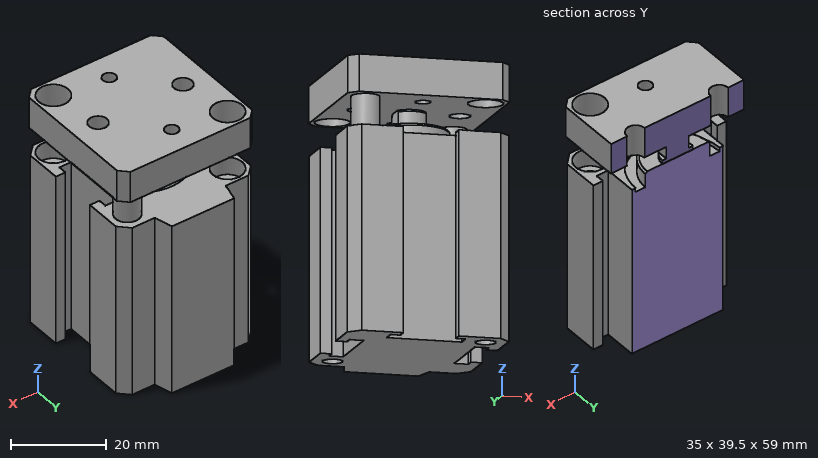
import cadquery as cq

total_height = 59.0
side = 35.0
half_side = side / 2

housing_height = 44.0
housing_corner_chamfer = 2.5
slot_opening = 12.0
slot_inner_width = 16.15
slot_lip = 2.5
slot_depth = 5.5
rail_height = 4.5
rail_base_width = 18.4
rail_top_width = 16.1
recess_diameter = 22.0
recess_depth = 1.0
boss_diameter = 17.0
boss_height = 3.0
edge_chamfer = 0.5
mounting_hole_diameter = 4.3
counterbore_diameter = 7.5
counterbore_depth = 4.5

plate_thickness = 8.0
plate_corner_chamfer = 2.0
guide_rod_diameter = 6.0
piston_rod_diameter = 8.0
rod_flat_width = 6.0
rod_flat_length = 3.0
corner_offset = 13.0
plate_hole_offset = 11.0
plate_large_hole_diameter = 4.5
plate_small_hole_diameter = 3.25

boss_top = housing_height + boss_height
plate_bottom = total_height - plate_thickness
guide_rod_positions = [(-corner_offset, -corner_offset), (corner_offset, corner_offset)]
mounting_hole_positions = [(-corner_offset, corner_offset), (corner_offset, -corner_offset)]


def cylinder(diameter, bottom, top, positions=((0, 0),)):
    """Vertical cylinders between two heights, one at each position."""
    return (
        cq.Workplane("XY", origin=(0, 0, bottom))
        .pushPoints(list(positions))
        .circle(diameter / 2)
        .extrude(top - bottom)
    )


def chamfered_square(corner_chamfer, bottom, top):
    """Square block with its four vertical edges chamfered."""
    block = cq.Workplane("XY", origin=(0, 0, bottom)).rect(side, side).extrude(top - bottom)
    return block.edges("|Z").chamfer(corner_chamfer)


def t_slot(angle):
    """T-slot cutter over the housing height, turned about Z from the -Y side."""
    face_y = -half_side
    neck = cq.Workplane("XY").center(0, face_y + slot_depth / 2).rect(slot_opening, slot_depth)
    inner_depth = slot_depth - slot_lip
    inner = cq.Workplane("XY").center(0, face_y + slot_lip + inner_depth / 2)
    inner = inner.rect(slot_inner_width, inner_depth)
    slot = neck.extrude(housing_height).union(inner.extrude(housing_height))
    return slot.rotate((0, 0, 0), (0, 0, 1), angle)


def sensor_rail():
    """Tapered rail along the +Y side of the housing."""
    return (
        cq.Workplane("XY")
        .moveTo(-rail_base_width / 2, half_side)
        .lineTo(rail_base_width / 2, half_side)
        .lineTo(rail_top_width / 2, half_side + rail_height)
        .lineTo(-rail_top_width / 2, half_side + rail_height)
        .close()
        .extrude(housing_height)
    )


def make_housing():
    body = chamfered_square(housing_corner_chamfer, 0, housing_height).union(sensor_rail())

    for angle in (-90, 0, 90):
        body = body.cut(t_slot(angle))

    recess_floor = housing_height - recess_depth
    boss = cylinder(boss_diameter, recess_floor, boss_top).faces(">Z").chamfer(edge_chamfer)
    body = body.cut(cylinder(recess_diameter, recess_floor, housing_height)).union(boss)

    counterbore_floor = housing_height - counterbore_depth
    body = body.cut(cylinder(mounting_hole_diameter, 0, housing_height, mounting_hole_positions))
    return body.cut(
        cylinder(counterbore_diameter, counterbore_floor, housing_height, mounting_hole_positions)
    )


def make_piston_rod():
    """Piston rod from the boss to the plate, with two wrench flats facing -X and +X."""
    rod = cylinder(piston_rod_diameter, boss_top, plate_bottom).faces(">Z").chamfer(edge_chamfer)
    flats_bottom = plate_bottom - rod_flat_length
    flats_zone = cq.Workplane("XY", origin=(0, 0, flats_bottom))
    outside_flats = (
        flats_zone.rect(2 * piston_rod_diameter, 2 * piston_rod_diameter)
        .rect(rod_flat_width, 2 * piston_rod_diameter)
        .extrude(rod_flat_length)
    )
    return rod.cut(outside_flats)


def make_moving_plate():
    plate = chamfered_square(plate_corner_chamfer, plate_bottom, total_height)

    large_positions = [(-plate_hole_offset, 0), (plate_hole_offset, 0)]
    small_positions = [(0, -plate_hole_offset), (0, plate_hole_offset)]
    for diameter, positions in (
        (counterbore_diameter, mounting_hole_positions),
        (plate_large_hole_diameter, large_positions),
        (plate_small_hole_diameter, small_positions),
    ):
        plate = plate.cut(cylinder(diameter, plate_bottom, total_height, positions))

    guide_rods = cylinder(guide_rod_diameter, housing_height, plate_bottom, guide_rod_positions)
    return plate.union(guide_rods).union(make_piston_rod())


housing = make_housing()
moving_plate = make_moving_plate()
result = cq.Compound.makeCompound([housing.val(), moving_plate.val()])